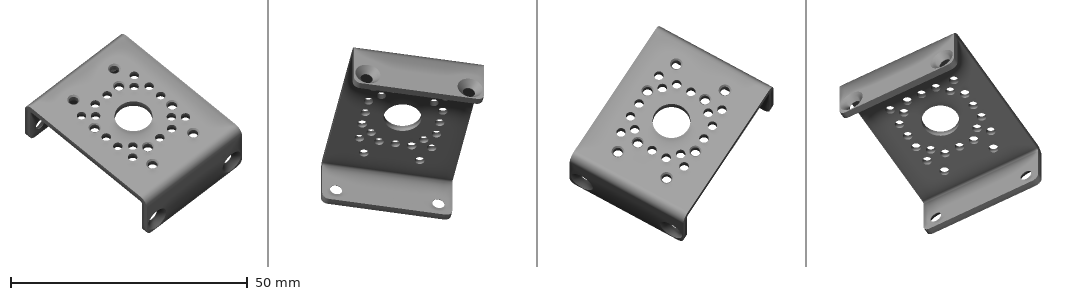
import cadquery as cq
import math

length_x = 37.0
width_y = 28.0
height = 11.5
sheet = 1.5
bend_inner_radius = 0.5
bend_outer_radius = bend_inner_radius + sheet
leg_corner_radius = 1.5

bore_diameter = 8.0
small_hole_diameter = 2.0
inner_ring_radius = 8.0
inner_ring_count = 8
outer_ring_radius = 11.0
sides = 4
side_hole_offset = 3.5
mount_x = 12.0
mount_y = 6.0
sunk_hole_diameter = 2.05
ring_sink_diameter = 2.6
mount_sink_diameter = 2.7

leg_hole_diameter = 2.6
leg_sink_diameter = 5.4
leg_hole_edge_distance = 3.0

sink_angle = 90.0

inner_length = length_x - 2 * sheet
inner_height = height - sheet


def folded_sheet():
    """U-shaped channel with round bends and rounded leg corners."""
    outer = (
        cq.Workplane("XY")
        .box(length_x, width_y, height, centered=(True, True, False))
        .edges("|Y and >Z")
        .fillet(bend_outer_radius)
    )
    inner = (
        cq.Workplane("XY")
        .box(inner_length, width_y, inner_height, centered=(True, True, False))
        .edges("|Y and >Z")
        .fillet(bend_inner_radius)
    )
    return outer.cut(inner).edges("|X and <Z").fillet(leg_corner_radius)


def turned_copies(point, count):
    """Copies of a point spread evenly around the plate centre."""
    x, y = point
    copies = []
    for i in range(count):
        angle = 2 * math.pi * i / count
        c = math.cos(angle)
        s = math.sin(angle)
        copies.append((x * c - y * s, x * s + y * c))
    return copies


def cut_sunk_holes(body, face, points, hole_diameter, sink_diameter):
    """Countersunk through holes; the normal of the face points out of the sheet."""
    sink_depth = (sink_diameter - hole_diameter) / 2 / math.tan(math.radians(sink_angle / 2))
    holes = face.pushPoints(points).circle(hole_diameter / 2).extrude(-sheet)
    for x, y in points:
        cone = cq.Solid.makeCone(
            sink_diameter / 2,
            hole_diameter / 2,
            sink_depth,
            pnt=face.plane.toWorldCoords((x, y, 0)),
            dir=-face.plane.zDir,
        )
        body = body.cut(cq.Workplane(cone))
    return body.cut(holes)


def drill_plate(body):
    """Central bore, plain holes and countersunk holes in the plate."""
    plain = turned_copies((inner_ring_radius, 0), inner_ring_count)
    outer_ring_offset = outer_ring_radius * math.sqrt(0.5)
    plain += turned_copies((outer_ring_offset, outer_ring_offset), sides)
    plain += turned_copies((inner_ring_radius, side_hole_offset), sides)
    ring_sunk = turned_copies((inner_ring_radius, -side_hole_offset), sides)
    mounts = [(sx * mount_x, sy * mount_y) for sx in (-1, 1) for sy in (-1, 1)]

    top = cq.Workplane("XY", origin=(0, 0, height))
    body = body.cut(top.circle(bore_diameter / 2).extrude(-sheet))
    body = body.cut(top.pushPoints(plain).circle(small_hole_diameter / 2).extrude(-sheet))
    body = cut_sunk_holes(body, top, ring_sunk, sunk_hole_diameter, ring_sink_diameter)
    return cut_sunk_holes(body, top, mounts, sunk_hole_diameter, mount_sink_diameter)


def drill_legs(body):
    """Two screw holes in each leg, countersunk from the outside."""
    hole_y = width_y / 2 - leg_hole_edge_distance
    points = [(-hole_y, 0), (hole_y, 0)]
    for side in (-1, 1):
        plane = cq.Plane(
            origin=(side * length_x / 2, 0, leg_hole_edge_distance),
            xDir=(0, 1, 0),
            normal=(side, 0, 0),
        )
        face = cq.Workplane(plane)
        body = cut_sunk_holes(body, face, points, leg_hole_diameter, leg_sink_diameter)
    return body


result = drill_legs(drill_plate(folded_sheet()))